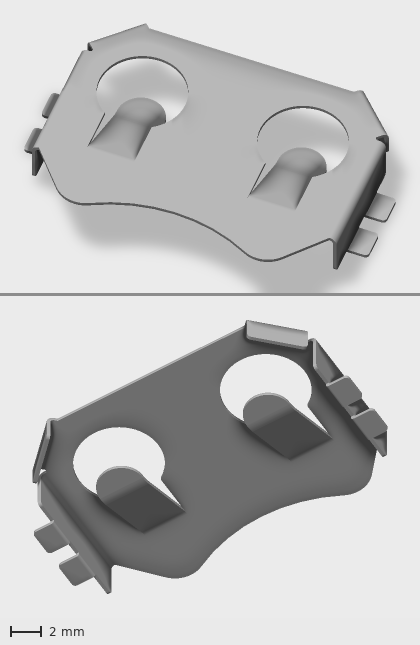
import cadquery as cq
import math

thickness = 0.25
bend_radius = 0.5
total_width = 24.1
total_height = 3.6

wall_outer_x = 10.65
wall_bend_x = wall_outer_x - bend_radius
wall_back_y = -3.18
wall_front_y = -11.88
wall_drop = 3.25
bent_corner_radius = 0.3

flap_length = 4.05
flap_drop = 2.1
flap_outer_tip = (-7.66, 0.5)
diagonal = math.sqrt(0.5)
flap_bend_back = (
    flap_outer_tip[0] + bend_radius * diagonal,
    flap_outer_tip[1] - bend_radius * diagonal,
)
flap_bend_front = (
    flap_bend_back[0] - flap_length * diagonal,
    flap_bend_back[1] - flap_length * diagonal,
)
notch_radius = 0.15

front_arc_radius = 11.57
front_arc_crest_y = -13.6
nose_radius = 2.0
nose_tip_y = -15.18

foot_width = 2.0
foot_back_edges = (-4.77, -7.88)
foot_corner_radius = 0.27
foot_bend_radius = 0.2

window_x = 5.62
window_y = -5.09
window_radius = 3.0
tongue_width = 3.28
tongue_root_y = -10.82
tongue_flat_y = -5.37
tongue_depth = 2.53
root_bend_radius = 0.85
tip_bend_radius = 1.52


def polar(center, radius, angle):
    return (center[0] + radius * math.cos(angle), center[1] + radius * math.sin(angle))


def mirrored(point):
    return (-point[0], point[1])


def make_plate():
    arc_center = (0, front_arc_crest_y - front_arc_radius)
    nose_y = nose_tip_y + nose_radius
    nose_x = -math.sqrt((front_arc_radius + nose_radius) ** 2 - (nose_y - arc_center[1]) ** 2)
    nose_center = (nose_x, nose_y)
    joint_angle = math.atan2(nose_y - arc_center[1], nose_x)
    nose_end = polar(arc_center, front_arc_radius, joint_angle)

    wall_front = (-wall_bend_x, wall_front_y)
    dx = wall_front[0] - nose_x
    dy = wall_front[1] - nose_y
    tangent_angle = math.atan2(dy, dx) + math.acos(nose_radius / math.hypot(dx, dy))
    nose_start = polar(nose_center, nose_radius, tangent_angle)
    nose_tip = (nose_x, nose_tip_y)

    back_corner = (flap_bend_back[0] + flap_bend_back[1], 0)
    notch_corner = (flap_bend_front[0] + flap_bend_front[1] - wall_back_y, wall_back_y)
    wall_back = (-wall_bend_x, wall_back_y)

    plate = (
        cq.Workplane("XY")
        .moveTo(*mirrored(back_corner))
        .lineTo(*back_corner)
        .lineTo(*flap_bend_back)
        .lineTo(*flap_bend_front)
        .lineTo(*notch_corner)
        .lineTo(*wall_back)
        .lineTo(*wall_front)
        .lineTo(*nose_start)
        .threePointArc(nose_tip, nose_end)
        .threePointArc((0, front_arc_crest_y), mirrored(nose_end))
        .threePointArc(mirrored(nose_tip), mirrored(nose_start))
        .lineTo(*mirrored(wall_front))
        .lineTo(*mirrored(wall_back))
        .lineTo(*mirrored(notch_corner))
        .lineTo(*mirrored(flap_bend_front))
        .lineTo(*mirrored(flap_bend_back))
        .close()
        .extrude(-thickness)
    )
    for corner in (notch_corner, mirrored(notch_corner)):
        notch_edge = cq.selectors.NearestToPointSelector((*corner, -thickness / 2))
        plate = plate.edges("|Z").edges(notch_edge).fillet(notch_radius)
    return plate


def make_window():
    """Round window with the slot that the tongue leaves behind."""
    slot_length = window_y - tongue_root_y
    window = cq.Workplane("XY").center(-window_x, window_y).circle(window_radius).extrude(-thickness)
    slot = (
        cq.Workplane("XY")
        .center(-window_x, window_y - slot_length / 2)
        .rect(tongue_width, slot_length)
        .extrude(-thickness)
    )
    return window.union(slot)


def make_bent_flap(length, drop):
    """Flap bent down from a line along -Y at the origin, facing -X."""
    bend_center = (0, -bend_radius)
    inner_radius = bend_radius - thickness
    middle_angle = math.radians(135)
    return (
        cq.Workplane("XZ")
        .moveTo(0, 0)
        .threePointArc(polar(bend_center, bend_radius, middle_angle), (-bend_radius, -bend_radius))
        .lineTo(-bend_radius, -drop)
        .lineTo(-inner_radius, -drop)
        .lineTo(-inner_radius, -bend_radius)
        .threePointArc(polar(bend_center, inner_radius, middle_angle), (0, -thickness))
        .close()
        .extrude(length)
        .faces("<Z")
        .edges("|X")
        .fillet(bent_corner_radius)
    )


def make_side_wall():
    wall = make_bent_flap(wall_back_y - wall_front_y, wall_drop)
    return wall.translate((-wall_bend_x, wall_back_y, 0))


def make_corner_flap():
    flap = make_bent_flap(flap_length, flap_drop)
    return flap.rotate((0, 0, 0), (0, 0, 1), -45).translate((*flap_bend_back, 0))


def make_foot(back_y):
    """L-shaped foot continuing the side wall down and outwards."""
    wall_inner_x = wall_outer_x - thickness
    foot_end_x = total_width / 2
    return (
        cq.Workplane("XZ", origin=(0, back_y, 0))
        .moveTo(-wall_inner_x, -wall_drop)
        .lineTo(-wall_outer_x, -wall_drop)
        .lineTo(-wall_outer_x, thickness - total_height)
        .lineTo(-foot_end_x, thickness - total_height)
        .lineTo(-foot_end_x, -total_height)
        .lineTo(-wall_inner_x, -total_height)
        .close()
        .extrude(foot_width)
        .faces("<X")
        .edges("|Z")
        .fillet(foot_corner_radius)
        .faces("<Z")
        .edges(">X")
        .fillet(foot_bend_radius)
    )


def make_tongue():
    run = tongue_flat_y - tongue_root_y
    flat_z = thickness - tongue_depth
    radius_sum = root_bend_radius + tip_bend_radius
    rise = -flat_z - radius_sum
    slope_length = math.sqrt(run**2 + rise**2 - radius_sum**2)
    slope = math.atan2(rise, run) + math.atan2(radius_sum, slope_length)

    root_center = (tongue_root_y, -root_bend_radius)
    tip_center = (tongue_flat_y, flat_z + tip_bend_radius)
    root_inner_radius = root_bend_radius - thickness
    tip_outer_radius = tip_bend_radius + thickness
    up = math.pi / 2
    down = -math.pi / 2
    tip_end_y = tongue_flat_y + tongue_width / 2

    strip = (
        cq.Workplane("YZ", origin=(-window_x, 0, 0))
        .moveTo(tongue_root_y, 0)
        .threePointArc(
            polar(root_center, root_bend_radius, up - slope / 2),
            polar(root_center, root_bend_radius, up - slope),
        )
        .lineTo(*polar(tip_center, tip_bend_radius, down - slope))
        .threePointArc(
            polar(tip_center, tip_bend_radius, down - slope / 2),
            (tongue_flat_y, flat_z),
        )
        .lineTo(tip_end_y, flat_z)
        .lineTo(tip_end_y, -tongue_depth)
        .lineTo(tongue_flat_y, -tongue_depth)
        .threePointArc(
            polar(tip_center, tip_outer_radius, down - slope / 2),
            polar(tip_center, tip_outer_radius, down - slope),
        )
        .lineTo(*polar(root_center, root_inner_radius, up - slope))
        .threePointArc(
            polar(root_center, root_inner_radius, up - slope / 2),
            (tongue_root_y, -thickness),
        )
        .close()
        .extrude(tongue_width / 2, both=True)
    )

    left_x = -window_x - tongue_width / 2
    right_x = -window_x + tongue_width / 2
    outline = (
        cq.Workplane("XY")
        .moveTo(left_x, tongue_root_y)
        .lineTo(right_x, tongue_root_y)
        .lineTo(right_x, tongue_flat_y)
        .threePointArc((-window_x, tip_end_y), (left_x, tongue_flat_y))
        .close()
        .extrude(-tongue_depth)
    )
    return strip.intersect(outline)


result = make_plate()
window = make_window()
result = result.cut(window).cut(window.mirror("YZ"))

bent_features = [make_side_wall(), make_corner_flap(), make_tongue()]
for foot_back_edge in foot_back_edges:
    bent_features.append(make_foot(foot_back_edge))
for feature in bent_features:
    result = result.union(feature).union(feature.mirror("YZ"))